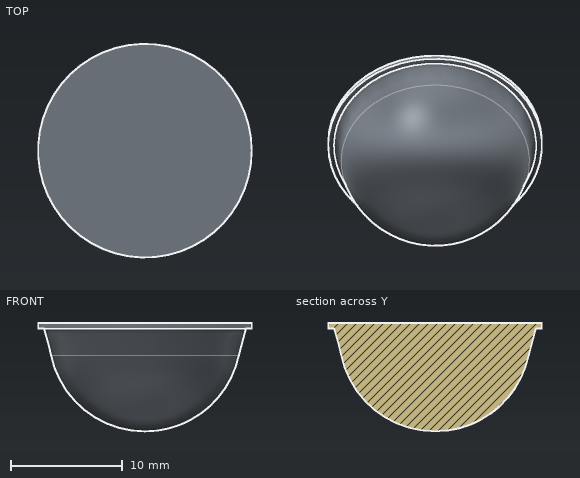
import cadquery as cq
import math

flange_radius = 9.55
flange_thickness = 0.52
total_height = 9.7
cone_top_radius = 9.03
dome_rim_radius = 8.4
dome_height = 6.82

dome_rim_z = dome_height - total_height
sphere_radius = (dome_rim_radius**2 + dome_height**2) / (2 * dome_height)
sphere_center_z = sphere_radius - total_height

half_arc_angle = math.asin(dome_rim_radius / sphere_radius) / 2
arc_mid_radius = sphere_radius * math.sin(half_arc_angle)
arc_mid_z = sphere_center_z - sphere_radius * math.cos(half_arc_angle)

profile = (
    cq.Workplane("XZ")
    .lineTo(flange_radius, 0)
    .lineTo(flange_radius, -flange_thickness)
    .lineTo(cone_top_radius, -flange_thickness)
    .lineTo(dome_rim_radius, dome_rim_z)
    .threePointArc((arc_mid_radius, arc_mid_z), (0, -total_height))
    .close()
)

result = profile.revolve(360, (0, 0, 0), (0, 1, 0))